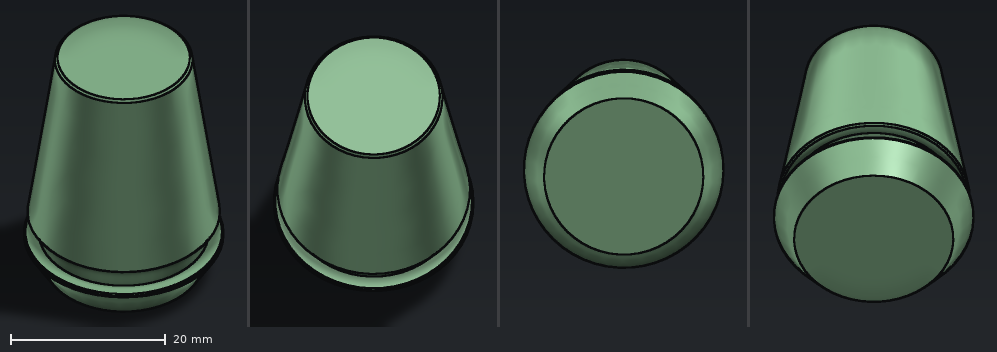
import cadquery as cq
import math

total_height = 34.0

collar_diameter = 25.8
collar_top = 4.93
nose_half_angle = 30.0
nose_diameter = 20.57
rim_chamfer = 0.2

neck_diameter = 22.0
neck_top = 8.13

taper_half_angle = 8.0
body_top_diameter = 17.78
body_base_chamfer = 0.27
top_chamfer = 0.35

collar_radius = collar_diameter / 2
nose_radius = nose_diameter / 2
neck_radius = neck_diameter / 2
body_top_radius = body_top_diameter / 2
nose_height = (collar_radius - nose_radius) / math.tan(math.radians(nose_half_angle))
taper_top = total_height - top_chamfer
taper_base = neck_top + body_base_chamfer
body_base_radius = body_top_radius + (taper_top - taper_base) * math.tan(math.radians(taper_half_angle))

half_section = (
    cq.Workplane("XZ")
    .moveTo(0, 0)
    .lineTo(nose_radius, 0)
    .lineTo(collar_radius, nose_height)
    .lineTo(collar_radius, collar_top - rim_chamfer)
    .lineTo(collar_radius - rim_chamfer, collar_top)
    .lineTo(neck_radius, collar_top)
    .lineTo(neck_radius, neck_top)
    .lineTo(body_base_radius - body_base_chamfer, neck_top)
    .lineTo(body_base_radius, taper_base)
    .lineTo(body_top_radius, taper_top)
    .lineTo(body_top_radius - top_chamfer, total_height)
    .lineTo(0, total_height)
    .close()
)

result = half_section.revolve(360, (0, 0, 0), (0, 1, 0))